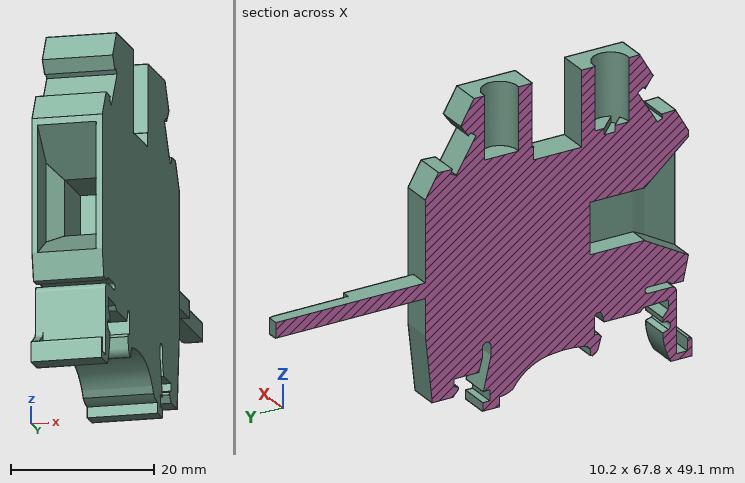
import cadquery as cq

WIDTH = 10.15
HEIGHT = 49.1
LENGTH = 67.78

MID_Y = 22.0
HALF_DEPTH = 21.45
FRONT_Y = MID_Y - HALF_DEPTH
BACK_Y = MID_Y + HALF_DEPTH
FRONT_LOWER_Z = 15.9
BACK_LOWER_Z = 14.2
CLAMP_X = 5.9

SHOULDER = [
    (13.5, HEIGHT),
    (15.7, 45.3),
    (14.4, 43.5),
    (14.0, 43.8),
    (13.2, 43.2),
    (16.4, 37.9),
    (17.2, 38.3),
    (17.0, 38.95),
    (19.3, 39.05),
    (HALF_DEPTH, 35.3),
]

FRONT_CHIN = [(1.4, 12.0), (3.2, 12.0), (3.9, 12.5)]
RELIEF_TOP_Z = 12.5
RELIEF_END_Y = 7.6
ARM_TOP_Z = 11.6
ARM_SHOULDER_ROUND = 0.95

FOOT_RAMP_FILLET = [(2.3, 4.3), (1.8, 3.9)]
FOOT_SOLE_LENGTH = 3.4
FOOT_BACK_CURVE = [(4.45, 2.4), (4.8, 4.8)]
LATCH_NOTCH_START = (3.85, 5.1)
LATCH_NOTCH_CURVE = [(3.55, 5.75), (3.95, 6.4)]
ARM_UNDERSIDE = [
    (4.75, 6.4),
    (4.8, 7.2),
    (3.9, 8.25),
    (3.9, 9.7),
    (7.85, 9.5),
    (8.5, 8.9),
    (14.3, 8.9),
]
GROOVE_TOP_Z = 10.6
FRONT_GROOVE_START_Y = 14.65
FRONT_GROOVE_END_Y = 15.8
HOOK_FRONT = [(15.8, 7.35), (15.15, 7.3), (14.75, 6.8), (15.2, 5.1)]
HOOK_NOSE_CURVE = [(15.6, 4.5), (16.2, 4.15)]
HOOK_BACK = [(16.6, 4.3), (16.6, 5.1)]
HOOK_ROOT_CURVE = [(16.9, 5.65), (17.5, 5.9)]
ARCH_CROWN = [(20.1, 6.2), (22.75, 6.05)]
ARCH_FLANK = [(26.1, 5.05), (28.45, 3.15)]
ARCH_FOOT_START = (29.1, 2.25)
ARCH_FOOT_CURVE = [(30.0, 1.8), (31.3, 1.55)]
REAR_LEG = [
    (31.3, 0),
    (34.1, 0),
    (34.1, 1.4),
    (32.95, 1.4),
    (32.95, 3.05),
    (34.0, 3.05),
    (32.75, 8.4),
]
REAR_GROOVE_START_Y = 32.75
REAR_GROOVE_END_Y = 34.1
REAR_RAIL_HOOK = [
    (34.1, 8.3),
    (34.7, 6.2),
    (38.7, 6.2),
    (38.7, 5.1),
    (38.0, 4.75),
    (38.0, 4.4),
    (38.9, 3.4),
    (42.3, 3.4),
]

SLOT_WIDTH = 3.5
SLOT_FLOOR_Z = 42.1
POCKET_LENGTH = 8.0
POCKET_LEDGE = 0.25
POCKET_WALL = 1.45
POCKET_DEPTH = 12.0
POCKET_LEDGE_DEPTH = 10.0

SCREW_DIAMETER = 5.5
SCREW_SPACING = 18.0
SCREW_HOLE_DEPTH = 10.0
DRIVE_SLOT_WIDTH = 1.2
DRIVE_SLOT_DEPTH = 1.0
DRIVE_SLOT_ANGLE = -45

FUNNEL_LEFT = 0.8
FUNNEL_RIGHT = 9.25
FUNNEL_TOP_Z = 34.3
FUNNEL_DEPTH = 7.2
FUNNEL_STRAIGHT_DEPTH = 4.9
WIRE_LEFT = 2.85
WIRE_RIGHT = 8.6
WIRE_BOTTOM_Z = 20.0
WIRE_TOP_Z = 28.1
WIRE_DEPTH = 16.0

FOOT_ARM_Y = 2.45
FOOT_SIDE_WALL = 1.1
FOOT_LIP_THICKNESS = 0.8
FOOT_LIP_Z = 3.05
FOOT_LIP_ROUND = 0.45
FOOT_RAMP_TOP_Z = 4.8
FOOT_TRENCH_DEPTH = 2.0

PIN_BOTTOM_Z = 19.9
PIN_THICKNESS = 2.5
PIN_BASE_WIDTH = 5.5
PIN_BASE_END_Y = 54.85
PIN_TIP_WIDTH = 3.0
PIN_TIP_TAPER_LENGTH = 0.8
PIN_TIP_TAPER_INSET = 0.2


def box(x0, x1, y0, y1, z0, z1):
    return cq.Workplane("XY").box(x1 - x0, y1 - y0, z1 - z0, centered=False).translate((x0, y0, z0))


def add_lines(path, points):
    for point in points:
        path = path.lineTo(*point)
    return path


def draw_top_slot():
    slot_front = MID_Y - SLOT_WIDTH / 2
    slot_back = MID_Y + SLOT_WIDTH / 2
    path = cq.Workplane("YZ").moveTo(slot_back, HEIGHT)
    return add_lines(path, [(slot_back, SLOT_FLOOR_Z), (slot_front, SLOT_FLOOR_Z), (slot_front, HEIGHT)])


def draw_front_wall(path):
    path = add_lines(path, [(MID_Y - distance, z) for distance, z in SHOULDER])
    return add_lines(path, [(FRONT_Y, FRONT_LOWER_Z)] + FRONT_CHIN)


def draw_relief_slot(path):
    radius = (RELIEF_TOP_Z - ARM_TOP_Z) / 2
    round_start_y = RELIEF_END_Y - radius
    path = path.lineTo(round_start_y, RELIEF_TOP_Z)
    return path.threePointArc((RELIEF_END_Y, ARM_TOP_Z + radius), (round_start_y, ARM_TOP_Z))


def draw_release_arm(path):
    shoulder_y = FOOT_ARM_Y + ARM_SHOULDER_ROUND
    shoulder_z = ARM_TOP_Z - ARM_SHOULDER_ROUND
    path = path.lineTo(shoulder_y, ARM_TOP_Z)
    path = path.radiusArc((FOOT_ARM_Y, shoulder_z), -ARM_SHOULDER_ROUND)
    path = path.lineTo(FOOT_ARM_Y, FOOT_RAMP_TOP_Z).threePointArc(*FOOT_RAMP_FILLET)
    path = path.lineTo(FOOT_LIP_ROUND, FOOT_LIP_Z)
    path = path.radiusArc((0, FOOT_LIP_Z - FOOT_LIP_ROUND), -FOOT_LIP_ROUND)
    path = path.lineTo(0, 0).lineTo(FOOT_SOLE_LENGTH, 0).threePointArc(*FOOT_BACK_CURVE)
    path = path.lineTo(*LATCH_NOTCH_START).threePointArc(*LATCH_NOTCH_CURVE)
    return add_lines(path, ARM_UNDERSIDE)


def draw_rail_groove(path, front_y, back_y):
    radius = (back_y - front_y) / 2
    spring_z = GROOVE_TOP_Z - radius
    path = path.lineTo(front_y, spring_z)
    return path.threePointArc((front_y + radius, GROOVE_TOP_Z), (back_y, spring_z))


def draw_front_hook(path):
    path = add_lines(path, HOOK_FRONT).threePointArc(*HOOK_NOSE_CURVE)
    return add_lines(path, HOOK_BACK).threePointArc(*HOOK_ROOT_CURVE)


def draw_arch(path):
    path = path.threePointArc(*ARCH_CROWN).threePointArc(*ARCH_FLANK)
    return path.lineTo(*ARCH_FOOT_START).threePointArc(*ARCH_FOOT_CURVE)


def draw_back_wall(path):
    path = add_lines(path, REAR_RAIL_HOOK + [(BACK_Y, BACK_LOWER_Z)])
    return add_lines(path, [(MID_Y + distance, z) for distance, z in reversed(SHOULDER)])


def make_housing():
    path = draw_top_slot()
    path = draw_front_wall(path)
    path = draw_relief_slot(path)
    path = draw_release_arm(path)
    path = draw_rail_groove(path, FRONT_GROOVE_START_Y, FRONT_GROOVE_END_Y)
    path = draw_front_hook(path)
    path = draw_arch(path)
    path = add_lines(path, REAR_LEG)
    path = draw_rail_groove(path, REAR_GROOVE_START_Y, REAR_GROOVE_END_Y)
    path = draw_back_wall(path)
    return path.close().extrude(WIDTH)


def marker_pocket():
    front = MID_Y - POCKET_LENGTH / 2
    back = MID_Y + POCKET_LENGTH / 2
    lower = box(POCKET_WALL, WIDTH, front, back - POCKET_LEDGE, HEIGHT - POCKET_DEPTH, HEIGHT)
    upper = box(POCKET_WALL, WIDTH, front, back, HEIGHT - POCKET_LEDGE_DEPTH, HEIGHT)
    return lower.union(upper)


def screw_hole(y):
    floor_z = HEIGHT - SCREW_HOLE_DEPTH
    return cq.Workplane("XY", origin=(CLAMP_X, y, floor_z)).circle(SCREW_DIAMETER / 2).extrude(SCREW_HOLE_DEPTH)


def drive_slot(y):
    bottom_z = HEIGHT - SCREW_HOLE_DEPTH - DRIVE_SLOT_DEPTH
    plane = cq.Workplane("XY", origin=(CLAMP_X, y, bottom_z))
    bar = plane.transformed(rotate=(0, 0, DRIVE_SLOT_ANGLE))
    bar = bar.rect(2 * SCREW_DIAMETER, DRIVE_SLOT_WIDTH).extrude(DRIVE_SLOT_DEPTH)
    return bar.intersect(plane.circle(SCREW_DIAMETER / 2).extrude(DRIVE_SLOT_DEPTH))


def wire_entry():
    taper_y = FRONT_Y + FUNNEL_STRAIGHT_DEPTH
    throat_y = FRONT_Y + FUNNEL_DEPTH
    side_taper = (
        cq.Workplane("YZ")
        .polyline([
            (FRONT_Y, FRONT_LOWER_Z),
            (throat_y, WIRE_BOTTOM_Z),
            (throat_y, WIRE_TOP_Z),
            (FRONT_Y, FUNNEL_TOP_Z),
        ])
        .close()
        .extrude(WIDTH)
    )
    plan_taper = (
        cq.Workplane("XY")
        .polyline([
            (FUNNEL_LEFT, FRONT_Y),
            (FUNNEL_RIGHT, FRONT_Y),
            (FUNNEL_RIGHT, taper_y),
            (WIRE_RIGHT, throat_y),
            (WIRE_LEFT, throat_y),
            (FUNNEL_LEFT, taper_y),
        ])
        .close()
        .extrude(HEIGHT)
    )
    passage = box(WIRE_LEFT, WIRE_RIGHT, throat_y, FRONT_Y + WIRE_DEPTH, WIRE_BOTTOM_Z, WIRE_TOP_Z)
    return side_taper.intersect(plan_taper).union(passage)


def foot_trench():
    above_lip = box(FOOT_SIDE_WALL, WIDTH, 0, FOOT_ARM_Y, FOOT_LIP_Z, FOOT_RAMP_TOP_Z)
    trench = box(
        FOOT_SIDE_WALL, WIDTH, FOOT_LIP_THICKNESS, FOOT_ARM_Y, FOOT_LIP_Z - FOOT_TRENCH_DEPTH, FOOT_LIP_Z
    )
    return above_lip.union(trench)


def contact_pin():
    base_half = PIN_BASE_WIDTH / 2
    tip_half = PIN_TIP_WIDTH / 2
    half_outline = [
        (base_half, BACK_Y),
        (base_half, PIN_BASE_END_Y),
        (tip_half, PIN_BASE_END_Y),
        (tip_half, LENGTH - PIN_TIP_TAPER_LENGTH),
        (tip_half - PIN_TIP_TAPER_INSET, LENGTH),
    ]
    outline = half_outline + [(-x, y) for x, y in reversed(half_outline)]
    return cq.Workplane("XY", origin=(CLAMP_X, 0, PIN_BOTTOM_Z)).polyline(outline).close().extrude(PIN_THICKNESS)


front_screw_y = MID_Y - SCREW_SPACING / 2
back_screw_y = MID_Y + SCREW_SPACING / 2

result = make_housing().cut(marker_pocket())
for screw_y in (front_screw_y, back_screw_y):
    result = result.cut(screw_hole(screw_y))
result = result.cut(drive_slot(front_screw_y))
result = result.cut(wire_entry())
result = result.cut(foot_trench())
result = result.union(contact_pin())